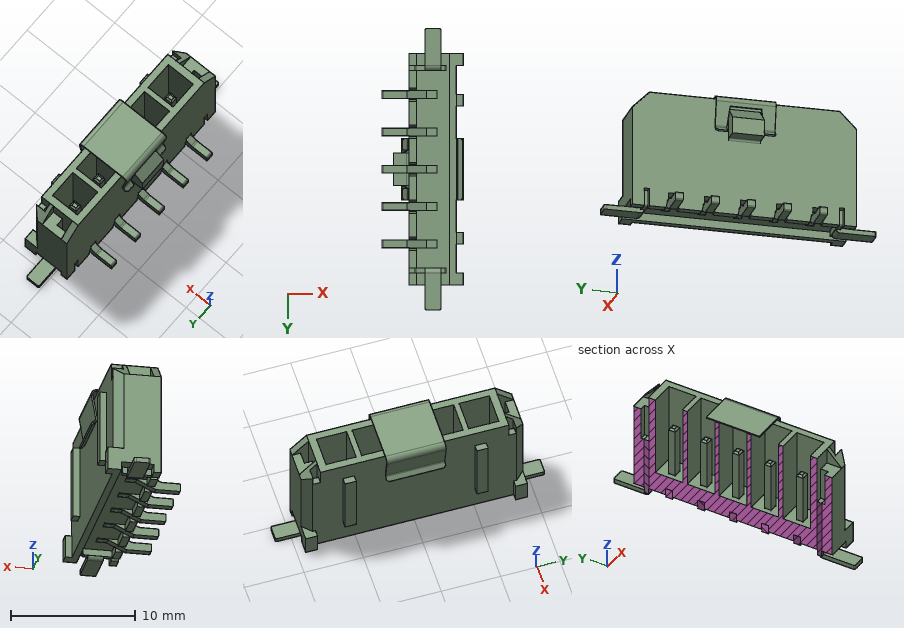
import cadquery as cq
import math


housing_width = 3.83
housing_length = 18.66
housing_bottom = 0.14
housing_top = 10.0
housing_end = housing_length / 2
housing_mid_x = housing_width / 2

pin_count = 5
pin_span = 12.0
pitch = pin_span / (pin_count - 1)
pin_positions = [(i - (pin_count - 1) / 2) * pitch for i in range(pin_count)]

cavity_width = 2.6
cavity_length = 2.54
cavity_floor = 2.72

end_slope = 1.4
end_wall_y = housing_end - end_slope
end_ledge = housing_top - end_slope
end_pocket_start, end_pocket_end = 0.61, 2.58
end_step_x = 2.95
end_step_length = 0.61
corner_chamfer = 0.75

groove_start, groove_end = 0.61, 3.26
groove_top = 0.82
back_face = 4.37
foot_top = 2.04
foot_length = 1.0

rib_inner_y = 5.07
rib_width = 0.95
rib_bottom, rib_top = 2.3, 8.34

latch_width = 2.65
latch_reach = 1.25
latch_bottom = 6.68
latch_shoulder = 8.06
latch_top = 9.22
latch_root_radius = 0.18

pin_width = 0.63
post_depth = 0.72
post_start = housing_mid_x - post_depth / 2
post_end = post_start + post_depth
post_top = 7.25
post_tip_chamfer = 0.15
leg_reach = 2.17
leg_height = 0.68
leg_end_radius = 0.11
leg_bend_radius = 0.35
leg_top_bend, leg_bottom_bend = -0.6, -0.14
crank_run, crank_rise = 1.55, 0.75
crank_top = leg_height + crank_rise

leg_gap_top = 0.82
leg_gap_bottom_half, leg_gap_top_half = 0.55, 0.39

tab_thickness = 0.4
tab_start, tab_end = 0.72, 3.13
tab_shoulder_start, tab_shoulder_end = 0.5, 3.0
tab_shoulder_bottom = 0.27
tab_shoulder_radius = 0.11
tab_top = 5.66
tab_tongue_start, tab_tongue_end = 1.3, 2.58
tab_inner_radius = 0.07
tab_outer_radius = 0.4
tongue_proud = 0.05
tab_tip_y = 11.32
tab_tip_radius = 0.14
tab_slot_top = 1.63
tab_outer_y = end_wall_y + tab_thickness

front_well_end, front_well_length = 1.63, 0.68
back_well_end = 3.28

clip_width = 4.98
clip_mid_x = 1.9
clip_thickness = 0.14
clip_top = housing_top + clip_thickness
clip_bend_radius = 0.45
clip_bend_x = -0.14
clip_bend_z = clip_top - clip_bend_radius
clip_leg_angle = math.radians(10)
clip_leg_length = 2.2
clip_lip_length = 0.61
clip_lip_angle = math.radians(45)
clip_lip_chamfer = 0.18
clip_elbow_radius = 0.14
clip_window_top, clip_window_bottom = 9.29, 6.8
clip_window_top_half, clip_window_bottom_half = 1.31, 1.6


def block(x0, x1, y0, y1, z0, z1):
    """Box between two opposite corners."""
    return cq.Workplane("XY").box(x1 - x0, y1 - y0, z1 - z0, centered=False).translate((x0, y0, z0))


def profile_along_y(points, width):
    """XZ outline extruded symmetrically about Y = 0."""
    return cq.Workplane("XZ").polyline(points).close().extrude(width / 2, both=True)


def profile_along_x(points, x0, x1):
    """YZ outline extruded from x0 to x1."""
    return cq.Workplane("YZ", origin=(x0, 0, 0)).polyline(points).close().extrude(x1 - x0)


def both_ends(feature):
    """The feature together with its mirror image about Y = 0."""
    return feature.union(feature.mirror("XZ"))


def edge_near(body, xz_point, y):
    """The edge whose middle lies closest to the given place."""
    return body.edges(cq.selectors.NearestToPointSelector((xz_point[0], y, xz_point[1])))


def housing_shell():
    """Sloped-end block with feet and ribs on its back face and a groove underneath."""
    body = profile_along_x(
        [
            (-housing_end, housing_bottom),
            (housing_end, housing_bottom),
            (housing_end, end_ledge),
            (end_wall_y, housing_top),
            (-end_wall_y, housing_top),
            (-housing_end, end_ledge),
        ],
        0,
        housing_width,
    )
    body = body.edges("|Z and >X").chamfer(corner_chamfer)
    foot = block(groove_end, back_face, housing_end - foot_length, housing_end, housing_bottom, foot_top)
    corner = block(
        housing_width - corner_chamfer,
        housing_width,
        housing_end - corner_chamfer,
        housing_end,
        housing_bottom,
        foot_top,
    )
    rib = block(housing_width, back_face, rib_inner_y, rib_inner_y + rib_width, rib_bottom, rib_top)
    body = body.union(both_ends(foot)).union(both_ends(corner)).union(both_ends(rib))
    groove = block(groove_start, groove_end, -housing_end, housing_end, housing_bottom, groove_top)
    return body.cut(groove)


def latch():
    """Ramped catch with a rounded root under it."""
    return (
        cq.Workplane("XZ")
        .moveTo(0, latch_top)
        .lineTo(-latch_reach, latch_shoulder)
        .lineTo(-latch_reach, latch_bottom)
        .lineTo(-latch_root_radius, latch_bottom)
        .tangentArcPoint((0, latch_bottom - latch_root_radius), relative=False)
        .close()
        .extrude(latch_width / 2, both=True)
    )


def end_recesses():
    """Pocket and side slot in each sloped end, with a well in the floor of both."""
    pocket = block(end_pocket_start, end_pocket_end, end_wall_y, housing_end, end_ledge, housing_top)
    step_end = end_wall_y + end_step_length
    step = block(end_step_x, housing_width, end_wall_y, step_end, end_ledge, housing_top)
    front_well_y = end_wall_y + front_well_length
    front_well = block(end_pocket_start, front_well_end, end_wall_y, front_well_y, tab_top, end_ledge)
    back_well = block(end_step_x, back_well_end, end_wall_y, step_end, tab_top, end_ledge)
    return both_ends(pocket.union(step).union(front_well).union(back_well))


def tab_slots():
    """Upright slots for the tab plates, open through the latch-side wall near the bottom."""
    upper_slot = block(end_pocket_start, back_well_end, end_wall_y, tab_outer_y, tab_slot_top, tab_top)
    lower_slot = block(0, tab_shoulder_end, end_wall_y, tab_outer_y, housing_bottom, tab_slot_top)
    return both_ends(upper_slot.union(lower_slot))


def contact_opening():
    """Cavity, post hole and leg slot for the pin at Y = 0."""
    cavity = block(
        housing_mid_x - cavity_width / 2,
        housing_mid_x + cavity_width / 2,
        -cavity_length / 2,
        cavity_length / 2,
        cavity_floor,
        housing_top,
    )
    post_hole = block(post_start, post_end, -pin_width / 2, pin_width / 2, housing_bottom, cavity_floor)
    leg_slot = block(0, post_start, -pin_width / 2, pin_width / 2, housing_bottom, crank_top)
    leg_gap = profile_along_x(
        [
            (-leg_gap_bottom_half, housing_bottom),
            (leg_gap_bottom_half, housing_bottom),
            (leg_gap_top_half, leg_gap_top),
            (-leg_gap_top_half, leg_gap_top),
        ],
        0,
        groove_start,
    )
    return cavity.union(post_hole).union(leg_slot).union(leg_gap)


def make_housing():
    """Shell with its latch, hollowed for the tabs and for every contact."""
    body = housing_shell().union(latch()).cut(end_recesses()).cut(tab_slots())
    opening = contact_opening()
    for y in pin_positions:
        body = body.cut(opening.translate((0, y, 0)))
    return body


def make_pin(y):
    """Square post with a tapered tip and a leg that cranks down to the board."""
    post = block(post_start, post_end, -pin_width / 2, pin_width / 2, crank_rise, post_top)
    post = post.faces(">Z").chamfer(post_tip_chamfer)
    leg = profile_along_y(
        [
            (-leg_reach, 0),
            (leg_bottom_bend, 0),
            (leg_bottom_bend + crank_run, crank_rise),
            (post_end, crank_rise),
            (post_end, crank_top),
            (leg_top_bend + crank_run, crank_top),
            (leg_top_bend, leg_height),
            (-leg_reach, leg_height),
        ],
        pin_width,
    )
    leg = leg.faces("<X").edges("|Y").fillet(leg_end_radius)
    leg = edge_near(leg, (leg_top_bend, leg_height), 0).fillet(leg_bend_radius)
    return post.union(leg).translate((0, y, 0))


def make_tab():
    """Upright plate with a tongue bent out towards +Y."""
    plate = block(tab_start, tab_end, end_wall_y, tab_outer_y, tab_slot_top, tab_top)
    shoulder = block(
        tab_shoulder_start, tab_shoulder_end, end_wall_y, tab_outer_y, tab_shoulder_bottom, tab_slot_top
    )
    shoulder = shoulder.edges("|Y and <Z").fillet(tab_shoulder_radius)
    tongue_mid_x = (tab_tongue_start + tab_tongue_end) / 2
    tongue_face_y = tab_outer_y + tongue_proud
    tongue = profile_along_x(
        [
            (end_wall_y, 0),
            (tab_tip_y, 0),
            (tab_tip_y, tab_thickness),
            (tongue_face_y, tab_thickness),
            (tongue_face_y, groove_top),
            (end_wall_y, groove_top),
        ],
        tab_tongue_start,
        tab_tongue_end,
    )
    inner_bend = edge_near(tongue, (tongue_mid_x, tab_thickness), tongue_face_y)
    tongue = inner_bend.fillet(tab_inner_radius)
    tongue = tongue.edges("|X and <Y and <Z").fillet(tab_outer_radius)
    tongue = tongue.faces(">Y").edges("|Z").fillet(tab_tip_radius)
    return plate.union(shoulder).union(tongue)


def clip_side():
    """Half of the clip strip: top, rolled bend, leg and flared lip on the latch side."""
    inner_radius = clip_bend_radius - clip_thickness
    arc_mid = (math.pi + clip_leg_angle + math.pi / 2) / 2
    arc_end = math.pi + clip_leg_angle

    def on_bend(radius, angle):
        return (clip_bend_x + radius * math.cos(angle), clip_bend_z + radius * math.sin(angle))

    def step(point, length, direction):
        return (point[0] + length * math.cos(direction), point[1] + length * math.sin(direction))

    leg_direction = clip_leg_angle - math.pi / 2
    lip_direction = math.pi + clip_lip_angle
    turn = leg_direction + 2 * math.pi - lip_direction
    setback = clip_thickness * math.tan(turn / 2)

    outer_leg_start = on_bend(clip_bend_radius, arc_end)
    inner_leg_start = on_bend(inner_radius, arc_end)
    outer_elbow = step(outer_leg_start, clip_leg_length - setback, leg_direction)
    inner_elbow = step(inner_leg_start, clip_leg_length, leg_direction)
    outer_tip = step(outer_elbow, clip_lip_length - setback, lip_direction)
    inner_tip = step(inner_elbow, clip_lip_length, lip_direction)

    strip = (
        cq.Workplane("XZ")
        .moveTo(clip_mid_x, clip_top)
        .lineTo(clip_bend_x, clip_top)
        .threePointArc(on_bend(clip_bend_radius, arc_mid), outer_leg_start)
        .lineTo(*outer_elbow)
        .lineTo(*outer_tip)
        .lineTo(*inner_tip)
        .lineTo(*inner_elbow)
        .lineTo(*inner_leg_start)
        .threePointArc(on_bend(inner_radius, arc_mid), (clip_bend_x, housing_top))
        .lineTo(clip_mid_x, housing_top)
        .close()
        .extrude(clip_width / 2, both=True)
    )
    strip = edge_near(strip, outer_elbow, 0).fillet(clip_elbow_radius)
    strip = edge_near(strip, inner_elbow, 0).fillet(clip_elbow_radius + clip_thickness)
    tip_middle = ((outer_tip[0] + inner_tip[0]) / 2, (outer_tip[1] + inner_tip[1]) / 2)
    for corner_y in (-clip_width / 2, clip_width / 2):
        strip = edge_near(strip, tip_middle, corner_y).chamfer(clip_lip_chamfer)
    return strip


def clip_window():
    """Flared opening that lets the latch through the leg."""
    return profile_along_x(
        [
            (-clip_window_bottom_half, clip_window_bottom),
            (clip_window_bottom_half, clip_window_bottom),
            (clip_window_top_half, clip_window_top),
            (-clip_window_top_half, clip_window_top),
        ],
        -latch_reach,
        0,
    )


def make_clip():
    """Strip folded over the housing; only the latch-side leg has a window."""
    side = clip_side()
    far_side = side.mirror("YZ").translate((2 * clip_mid_x, 0, 0))
    return side.cut(clip_window()).union(far_side)


housing = make_housing()
clip = make_clip()
pins = [make_pin(y) for y in pin_positions]
tab = make_tab()
tabs = [tab, tab.mirror("XZ")]

result = cq.Compound.makeCompound([housing.val(), clip.val(), *[body.val() for body in pins + tabs]])